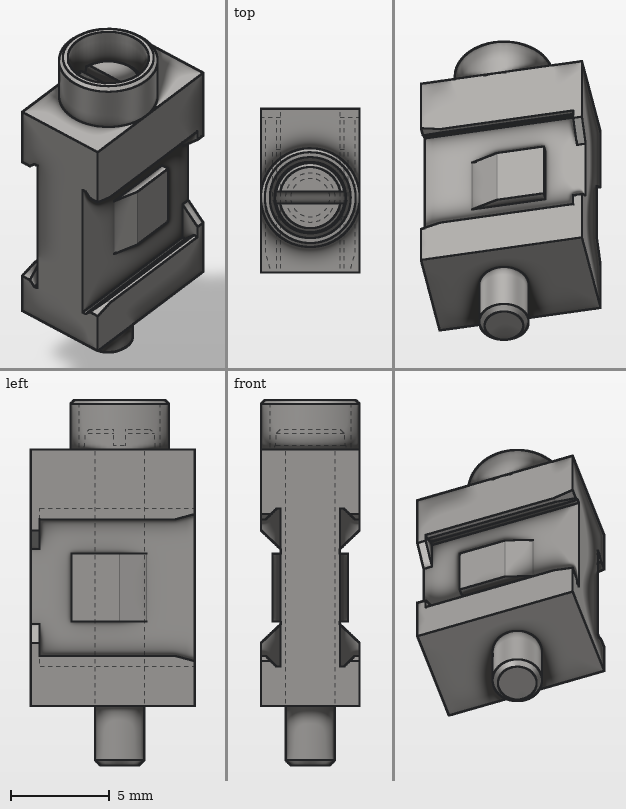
import cadquery as cq

OVERLAP = 0.01

block_width = 5.0
block_height = 13.0
block_front = -3.8
block_back = 4.5
block_depth = block_back - block_front
half_width = block_width / 2

recess_level = 6.0
web_half_width = 1.5
side_depth = half_width - web_half_width
recess_half_height = 4.0
recess_floor_flat = 0.2
recess_bevel_width = 0.56
recess_mouth_half_height = 3.45
end_wall = 0.45
recess_back = block_back - end_wall

ramp_length = 1.0
ramp_rise = 0.27

notch_level = 6.05
notch_root_half_height = 1.9
notch_mouth_half_height = 2.85

pad_height = 3.45
pad_thickness = 0.42
pad_back = 2.43
pad_slope_front = -1.35

collar_radius = 2.5
collar_height = 2.5
collar_chamfer = 0.2
collar_top = block_height + collar_height
bore_radius = 2.05
bore_floor = block_height

head_base_radius = 1.81
head_shoulder_radius = 1.75
head_top_radius = 1.55
head_height = 1.0
head_top = bore_floor + head_height
head_chamfer_height = 0.2
slot_width = 0.6
slot_depth = 0.8
shank_radius = 1.25
shank_bottom = -3.0
shank_chamfer = 0.27


def side_recess():
    """Bevelled recess with ramped mouth, on the +X side."""
    bevel_start = web_half_width + recess_floor_flat
    bevel_end = bevel_start + recess_bevel_width
    outside = half_width + OVERLAP
    upper = [
        (web_half_width, recess_half_height),
        (bevel_start, recess_half_height),
        (bevel_end, recess_mouth_half_height),
        (outside, recess_mouth_half_height),
    ]
    lower = [(x, -z) for x, z in reversed(upper)]
    recess = (
        cq.Workplane("XZ", origin=(0, recess_back, recess_level))
        .polyline(upper + lower)
        .close()
        .extrude(recess_back - block_front)
    )
    ramp_end_half_height = recess_mouth_half_height + ramp_rise
    ramps = (
        cq.Workplane("YZ", origin=(web_half_width, 0, recess_level))
        .polyline([
            (block_front, ramp_end_half_height),
            (block_front + ramp_length, recess_mouth_half_height),
            (block_front + ramp_length, -recess_mouth_half_height),
            (block_front, -ramp_end_half_height),
        ])
        .close()
        .extrude(side_depth)
    )
    return recess.union(ramps)


def rear_notch():
    """V notch through the rear wall, on the +X side."""
    return (
        cq.Workplane("XZ", origin=(0, block_back, notch_level))
        .polyline([
            (web_half_width, notch_root_half_height),
            (half_width, notch_mouth_half_height),
            (half_width, -notch_mouth_half_height),
            (web_half_width, -notch_root_half_height),
        ])
        .close()
        .extrude(end_wall)
    )


def web_pad():
    """Pad on the +X face of the web: flat at the rear, sloping into the web at the front."""
    pad_face = web_half_width + pad_thickness
    return (
        cq.Workplane("XY", origin=(0, 0, recess_level - pad_height / 2))
        .polyline([
            (web_half_width - OVERLAP, pad_slope_front),
            (web_half_width, pad_slope_front),
            (pad_face, 0),
            (pad_face, pad_back),
            (web_half_width - OVERLAP, pad_back),
        ])
        .close()
        .extrude(pad_height)
    )


def collar():
    """Ring stock on the block top, chamfered at its outer rim."""
    return (
        cq.Workplane("XY", origin=(0, 0, block_height))
        .circle(collar_radius)
        .extrude(collar_height)
        .faces(">Z")
        .chamfer(collar_chamfer)
    )


def cylinder(radius, bottom, top):
    """Cylinder on the screw axis between two levels."""
    return cq.Workplane("XY", origin=(0, 0, bottom)).circle(radius).extrude(top - bottom)


def make_housing():
    """Block with recesses, notches and pads on both X sides, and the bored collar on top."""
    block = cq.Workplane("XY").box(block_width, block_depth, block_height, centered=False)
    body = block.translate((-half_width, block_front, 0))
    for cutter in (side_recess(), rear_notch()):
        body = body.cut(cutter).cut(cutter.mirror("YZ"))
    pad = web_pad()
    body = body.union(pad).union(pad.mirror("YZ")).union(collar())
    body = body.cut(cylinder(bore_radius, bore_floor, collar_top))
    return body.cut(cylinder(shank_radius, 0, bore_floor))


def screw_head():
    """Tapered head with a chamfered rim, revolved about the screw axis."""
    shoulder = head_top - head_chamfer_height
    return (
        cq.Workplane("XZ")
        .polyline([
            (0, bore_floor),
            (head_base_radius, bore_floor),
            (head_shoulder_radius, shoulder),
            (head_top_radius, head_top),
            (0, head_top),
        ])
        .close()
        .revolve(360, (0, 0, 0), (0, 1, 0))
    )


def driver_slot():
    """Screwdriver slot across the head, along X."""
    return (
        cq.Workplane("XY", origin=(0, 0, head_top - slot_depth))
        .rect(2 * head_base_radius, slot_width)
        .extrude(slot_depth)
    )


def make_screw():
    """Slotted head and the shank that passes through the block."""
    shank = cylinder(shank_radius, shank_bottom, bore_floor).faces("<Z").chamfer(shank_chamfer)
    return screw_head().union(shank).cut(driver_slot())


housing = make_housing()
screw = make_screw()
result = cq.Compound.makeCompound([housing.val(), screw.val()])